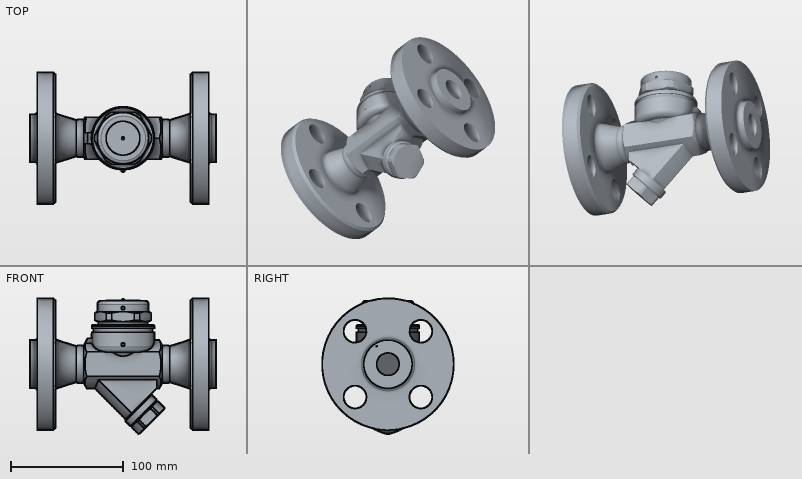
import cadquery as cq
import math

overall_length = 165.0
bore_diameter = 20.0
bore_depth = 46.2

flange_diameter = 117.0
flange_outer_x = 76.0
flange_inner_x = 59.7
flange_chamfer_length = 2.3
flange_chamfer_drop = 2.0
raised_face_diameter = 42.9
raised_face_fillet = 2.0
neck_fillet = 1.6
neck_large_radius = 21.5
neck_small_radius = 16.2
neck_end_x = 41.4
bead_diameter = 34.0
bolt_hole_diameter = 20.0
bolt_circle_diameter = 82.5
bolt_hole_count = 4
bolt_hole_start_angle = 45.0

block_half_length = 34.6
block_flats = 37.5
block_corner_radius = block_flats / math.sqrt(3)
block_chamfer_length = 2.5
block_chamfer_drop = 4.6

drum_radius = 56.0 / 2
drum_top_z = 28.2
drum_fillet_top_z = 15.5
drum_fillet = 5.0
drum_base_z = drum_fillet_top_z - drum_fillet
root_top_radius = 20.8
root_bottom_radius = 18.6
root_bottom_z = 7.0
drum_pin_diameter = 3.0
drum_pin_z = 17.5
drum_pin_straight_y = 28.5

lug_width = 9.9
lug_top_z = 23.1
lug_fillet = 2.5

branch_angle = 45.0
branch_flats = 26.4
branch_corner_radius = branch_flats / math.sqrt(3)
branch_offset = 17.7
branch_end = 36.3
branch_start = -6.6
branch_web_x = 29.9
branch_web_reach = 33.0
plug_collar_radius = 16.7
plug_collar_length = 8.1
plug_collar_chamfer = 0.8
plug_hex_flats = 29.7
plug_hex_radius = 16.5
plug_hex_length = 9.7
plug_hex_chamfer = 0.7

cap_groove_radius = 53.0 / 2
cap_rim_bottom_z = 31.7
cap_rim_edge_z = 33.5
cap_rim_top_z = 35.1
cap_rim_top_radius = 27.0
cap_neck_radius = 22.1
cap_hex_bottom_z = 37.8
cap_hex_top_z = 46.5
cap_hex_flats = 46.0
cap_hex_radius = 25.0
cap_hex_chamfer = 1.2
cap_radius = 45.5 / 2
cap_shoulder_z = 56.3
cap_fillet = 3.0
cap_disc_diameter = 30.0
cap_top_z = 56.8
cap_tip_radius = 1.2
vent_diameter = 3.0
vent_depth = 2.3
vent_z = 49.7
vent_count = 4


def turned_hexagon(flats, round_radius, bottom, top, chamfer):
    """Upright hexagon with two flats facing +Y and -Y, its corners rounded and its ends chamfered."""
    height = top - bottom
    hexagon = cq.Workplane("XY").workplane(offset=bottom).polygon(6, flats * 2 / math.sqrt(3)).extrude(height)
    turned = cq.Workplane("XY").workplane(offset=bottom).circle(round_radius).extrude(height)
    drop = round_radius - flats / 2
    turned = turned.faces("<Z or >Z").chamfer(chamfer, max(drop, chamfer))
    return hexagon.intersect(turned)


def make_inlet_end():
    """Flange, raised face and tapered neck on the -X side, turned about the X axis."""
    end_x = overall_length / 2
    face_radius = raised_face_diameter / 2
    flange_radius = flange_diameter / 2
    cone_start_x = flange_inner_x - neck_fillet
    bead_mid_x = (neck_end_x + block_half_length) / 2
    arc_inset = 1 - math.sqrt(0.5)
    profile = (
        cq.Workplane("XY")
        .moveTo(-end_x, 0)
        .lineTo(-end_x, face_radius)
        .lineTo(-flange_outer_x - raised_face_fillet, face_radius)
        .threePointArc(
            (-flange_outer_x - raised_face_fillet * arc_inset, face_radius + raised_face_fillet * arc_inset),
            (-flange_outer_x, face_radius + raised_face_fillet),
        )
        .lineTo(-flange_outer_x, flange_radius)
        .lineTo(-flange_inner_x - flange_chamfer_length, flange_radius)
        .lineTo(-flange_inner_x, flange_radius - flange_chamfer_drop)
        .lineTo(-flange_inner_x, neck_large_radius + neck_fillet)
        .threePointArc(
            (-flange_inner_x + neck_fillet * arc_inset, neck_large_radius + neck_fillet * arc_inset),
            (-cone_start_x, neck_large_radius),
        )
        .lineTo(-neck_end_x, neck_small_radius)
        .threePointArc((-bead_mid_x, bead_diameter / 2), (-block_half_length, neck_small_radius))
        .lineTo(-block_half_length, 0)
        .close()
    )
    inlet = profile.revolve(360, (0, 0, 0), (1, 0, 0))
    bolt_holes = (
        cq.Workplane("YZ", origin=(-end_x, 0, 0))
        .polarArray(bolt_circle_diameter / 2, bolt_hole_start_angle, 360, bolt_hole_count)
        .circle(bolt_hole_diameter / 2)
        .extrude(end_x - flange_inner_x)
    )
    return inlet.cut(bolt_holes)


def make_block_blank():
    """Turned envelope of the centre block, coned at both ends."""
    cone_x = block_half_length - block_chamfer_length
    cone_slope = block_chamfer_drop / block_chamfer_length
    peak_radius = block_corner_radius + cone_x * cone_slope
    face_radius = block_corner_radius - block_chamfer_drop
    return (
        cq.Workplane("XY")
        .polyline([
            (-block_half_length, 0),
            (-block_half_length, face_radius),
            (0, peak_radius),
            (block_half_length, face_radius),
            (block_half_length, 0),
        ])
        .close()
        .revolve(360, (0, 0, 0), (1, 0, 0))
    )


def make_block():
    """Hexagonal block along X with corners at the top and bottom."""
    hexagon = (
        cq.Workplane("YZ", origin=(-block_half_length, 0, 0))
        .transformed(rotate=(0, 0, 90))
        .polygon(6, 2 * block_corner_radius)
        .extrude(2 * block_half_length)
    )
    return hexagon.intersect(make_block_blank())


def make_drum():
    """Drum with a rounded lower edge and a conical root running into the block."""
    arc_mid = drum_fillet * math.sqrt(0.5)
    fillet_centre_radius = drum_radius - drum_fillet
    return (
        cq.Workplane("XZ")
        .moveTo(0, drum_top_z)
        .lineTo(drum_radius, drum_top_z)
        .lineTo(drum_radius, drum_fillet_top_z)
        .threePointArc(
            (fillet_centre_radius + arc_mid, drum_fillet_top_z - arc_mid),
            (fillet_centre_radius, drum_base_z),
        )
        .lineTo(root_top_radius, drum_base_z)
        .lineTo(root_bottom_radius, root_bottom_z)
        .lineTo(0, root_bottom_z)
        .close()
        .revolve(360, (0, 0, 0), (0, 1, 0))
    )


def make_drum_pin():
    """Round-nosed pin on the -Y side of the drum."""
    pin_radius = drum_pin_diameter / 2
    shank = cq.Workplane("XZ", origin=(0, 0, drum_pin_z)).circle(pin_radius).extrude(drum_pin_straight_y)
    nose = cq.Workplane("XY").sphere(pin_radius).translate((0, -drum_pin_straight_y, drum_pin_z))
    return shank.union(nose)


def make_lug():
    """Lug between the block and the drum, flared where it meets the drum."""
    half_width = lug_width / 2
    flare_y = half_width + lug_fillet
    flare_x = math.sqrt((drum_radius + lug_fillet) ** 2 - flare_y ** 2)
    contact = drum_radius / (drum_radius + lug_fillet)
    mid_angle = (math.pi / 2 + math.atan2(flare_y, flare_x)) / 2
    mid_x = flare_x - lug_fillet * math.cos(mid_angle)
    mid_y = flare_y - lug_fillet * math.sin(mid_angle)
    lug = (
        cq.Workplane("XY")
        .moveTo(-block_half_length, half_width)
        .lineTo(-flare_x, half_width)
        .threePointArc((-mid_x, mid_y), (-flare_x * contact, flare_y * contact))
        .lineTo(-flare_x * contact, -flare_y * contact)
        .threePointArc((-mid_x, -mid_y), (-flare_x, -half_width))
        .lineTo(-block_half_length, -half_width)
        .close()
        .extrude(lug_top_z)
    )
    return lug.intersect(make_block_blank())


def place_on_branch(shape):
    """Move a shape built along +Z onto the axis of the strainer branch."""
    diagonal = branch_offset * math.sqrt(0.5)
    turned = shape.rotate((0, 0, 0), (0, 1, 0), 180 - branch_angle)
    return turned.translate((-diagonal, 0, -diagonal))


def make_branch():
    """Angled branch: half a hexagon on its lower side, flat-sided toward the block."""
    half_width = branch_flats / 2
    section = (
        cq.Workplane("XY", origin=(0, 0, branch_start))
        .polyline([
            (-branch_web_reach, half_width),
            (branch_corner_radius / 2, half_width),
            (branch_corner_radius, 0),
            (branch_corner_radius / 2, -half_width),
            (-branch_web_reach, -half_width),
        ])
        .close()
        .extrude(branch_end - branch_start)
    )
    branch = place_on_branch(section)
    limit = (
        cq.Workplane("XY")
        .box(overall_length, block_flats, overall_length, centered=(False, True, False))
        .translate((branch_web_x - overall_length, 0, -overall_length))
    )
    return branch.intersect(limit)


def make_plug():
    """Collar and hexagon head that close the strainer branch."""
    collar_end = branch_end + plug_collar_length
    collar = (
        cq.Workplane("XY", origin=(0, 0, branch_end))
        .circle(plug_collar_radius)
        .extrude(plug_collar_length)
        .faces("<Z or >Z")
        .chamfer(plug_collar_chamfer)
    )
    head = turned_hexagon(
        plug_hex_flats, plug_hex_radius, collar_end, collar_end + plug_hex_length, plug_hex_chamfer
    )
    return place_on_branch(collar.union(head))


def make_bore():
    """Blind pipe bore from the -X end."""
    return (
        cq.Workplane("YZ", origin=(-overall_length / 2, 0, 0))
        .circle(bore_diameter / 2)
        .extrude(bore_depth)
    )


def make_housing():
    inlet = make_inlet_end().cut(make_bore())
    outlet = inlet.mirror("YZ")
    housing = make_block().union(make_branch()).union(make_drum()).union(make_lug())
    housing = housing.union(make_drum_pin()).union(make_plug())
    return housing.union(inlet).union(outlet)


def make_cap():
    """Cap that stands on the drum: groove, rim, neck, hexagon and vented crown."""
    disc_radius = cap_disc_diameter / 2
    arc_mid = cap_fillet * math.sqrt(0.5)
    crown_radius = cap_radius - cap_fillet
    crown_z = cap_shoulder_z - cap_fillet
    turned = (
        cq.Workplane("XZ")
        .moveTo(0, drum_top_z)
        .lineTo(cap_groove_radius, drum_top_z)
        .lineTo(cap_groove_radius, cap_rim_bottom_z)
        .lineTo(drum_radius, cap_rim_bottom_z)
        .lineTo(drum_radius, cap_rim_edge_z)
        .lineTo(cap_rim_top_radius, cap_rim_top_z)
        .lineTo(cap_neck_radius, cap_rim_top_z)
        .lineTo(cap_neck_radius, cap_hex_top_z)
        .lineTo(cap_radius, cap_hex_top_z)
        .lineTo(cap_radius, crown_z)
        .threePointArc((crown_radius + arc_mid, crown_z + arc_mid), (crown_radius, cap_shoulder_z))
        .lineTo(disc_radius, cap_shoulder_z)
        .lineTo(disc_radius, cap_top_z)
        .lineTo(0, cap_top_z)
        .close()
        .revolve(360, (0, 0, 0), (0, 1, 0))
    )
    hexagon = turned_hexagon(
        cap_hex_flats, cap_hex_radius, cap_hex_bottom_z, cap_hex_top_z, cap_hex_chamfer
    )
    tip = cq.Workplane("XY").sphere(cap_tip_radius).translate((0, 0, cap_top_z))
    cap = turned.union(hexagon).union(tip)
    for index in range(vent_count):
        vent = (
            cq.Workplane("YZ", origin=(cap_radius - vent_depth, 0, vent_z))
            .circle(vent_diameter / 2)
            .extrude(2 * vent_depth)
            .rotate((0, 0, 0), (0, 0, 1), index * 360 / vent_count)
        )
        cap = cap.cut(vent)
    return cap


housing = make_housing()
cap = make_cap()
result = cq.Compound.makeCompound([housing.val(), cap.val()])